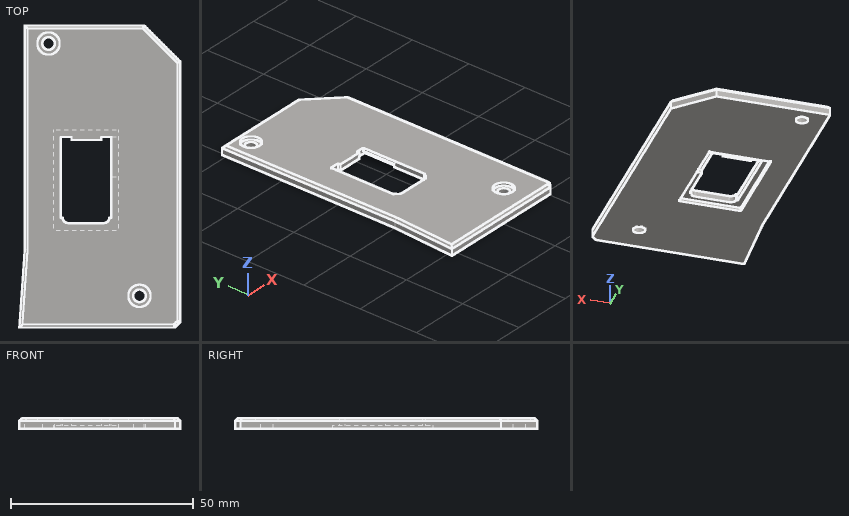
import cadquery as cq

WIDTH = 44.2
LENGTH = 83.0
THICKNESS = 3.0
LEFT_STEP = 1.5
TAPER_LENGTH = 21.5
TOP_CORNER_CUT = 10.0
BOTTOM_CORNER_CUT = 1.5
RIM_CHAMFER = 0.8

HOLE_DIAMETER = 3.4
COUNTERBORE_DIAMETER = 6.15
COUNTERBORE_DEPTH = 1.0
HOLE_CENTERS = [(8.05, 78.0), (33.0, 8.7)]

WINDOW_LEFT = 11.45
WINDOW_BOTTOM = 28.7
WINDOW_WIDTH = 13.8
WINDOW_HEIGHT = 23.6
FOOT_HEIGHT = 1.5
FOOT_INSET = 0.5
TAB_OFFSET = 2.9
TAB_WIDTH = 8.2
TAB_DEPTH = 0.8

RECESS_DEPTH = 1.0
RECESS_MARGIN = 2.0
RELIEF_DEPTH = 2.0
RELIEF_LENGTH = 10.95


def corner_box(x, y, width, length, height):
    """Box standing on the underside plane, placed by its lower left corner."""
    return cq.Workplane("XY").box(width, length, height, centered=False).translate((x, y, 0))


def make_plate():
    outline = [
        (0, 0),
        (WIDTH - BOTTOM_CORNER_CUT, 0),
        (WIDTH, BOTTOM_CORNER_CUT),
        (WIDTH, LENGTH - TOP_CORNER_CUT),
        (WIDTH - TOP_CORNER_CUT, LENGTH),
        (LEFT_STEP, LENGTH),
        (LEFT_STEP, TAPER_LENGTH),
    ]
    plate = cq.Workplane("XY").polyline(outline).close().extrude(THICKNESS)
    return plate.faces(">Z").chamfer(RIM_CHAMFER)


def make_window():
    body = corner_box(
        WINDOW_LEFT,
        WINDOW_BOTTOM + FOOT_HEIGHT,
        WINDOW_WIDTH,
        WINDOW_HEIGHT - FOOT_HEIGHT,
        THICKNESS,
    )
    foot = corner_box(
        WINDOW_LEFT + FOOT_INSET,
        WINDOW_BOTTOM,
        WINDOW_WIDTH - 2 * FOOT_INSET,
        WINDOW_HEIGHT / 2,
        THICKNESS,
    )
    foot = foot.faces("<Y").edges("|Z").fillet(FOOT_HEIGHT)
    tab = corner_box(
        WINDOW_LEFT + TAB_OFFSET,
        WINDOW_BOTTOM + WINDOW_HEIGHT - TAB_DEPTH,
        TAB_WIDTH,
        TAB_DEPTH,
        THICKNESS,
    )
    return body.union(foot).cut(tab)


def make_recess():
    return corner_box(
        WINDOW_LEFT - RECESS_MARGIN,
        WINDOW_BOTTOM - RECESS_MARGIN,
        WINDOW_WIDTH + 2 * RECESS_MARGIN,
        WINDOW_HEIGHT + 2 * RECESS_MARGIN,
        RECESS_DEPTH,
    )


def make_relief():
    return corner_box(
        WINDOW_LEFT + WINDOW_WIDTH,
        WINDOW_BOTTOM + WINDOW_HEIGHT - RELIEF_LENGTH,
        RECESS_MARGIN,
        RELIEF_LENGTH,
        RELIEF_DEPTH,
    )


plate = make_plate().cut(make_window()).cut(make_recess()).cut(make_relief())
result = (
    plate.faces(">Z")
    .workplane(origin=(0, 0, THICKNESS))
    .pushPoints(HOLE_CENTERS)
    .cboreHole(HOLE_DIAMETER, COUNTERBORE_DIAMETER, COUNTERBORE_DEPTH)
)